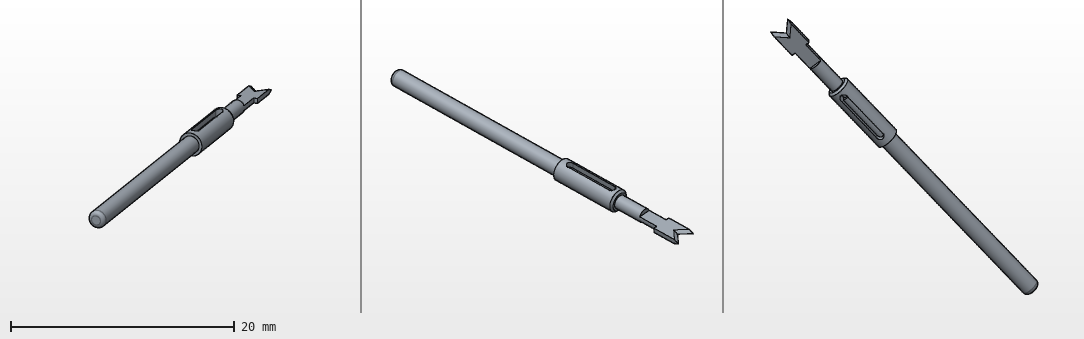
import cadquery as cq

length = 35.1
head_length = 3.0
flats_length = 5.02
plunger_length = 8.0
sleeve_length = 7.0

head_start = length - head_length
flats_start = length - flats_length
sleeve_end = length - plunger_length
sleeve_start = sleeve_end - sleeve_length

tail_diameter = 1.65
tail_rounding = 0.4
sleeve_diameter = 2.2
sleeve_chamfer = 0.2
plunger_diameter = 1.37

head_width = 2.0
blade_thickness = 0.5
bevel_length = 0.5
notch_depth = head_width / 2

window_width = 0.7
window_length = 5.72
window_end = sleeve_end - 0.6
shaft_diameter = 1.2
shaft_gap = 0.7
core_diameter = 0.6


def rod(diameter, start, end):
    """Round bar on the Y axis between two stations."""
    return cq.Workplane("XZ", origin=(0, start, 0)).circle(diameter / 2).extrude(start - end)


def tail():
    bar = rod(tail_diameter, 0, sleeve_start)
    return bar.faces("<Y").edges().fillet(tail_rounding)


def sleeve():
    bar = rod(sleeve_diameter, sleeve_start, sleeve_end)
    return bar.faces(">Y").edges().chamfer(sleeve_chamfer)


def windows():
    """Round-ended slot through the sleeve, top to bottom, around the inner shaft."""
    slot = (
        cq.Workplane("XY", origin=(0, window_end - window_length / 2, 0))
        .slot2D(window_length, window_width, 90)
        .extrude(sleeve_diameter / 2, both=True)
    )
    shaft = rod(shaft_diameter, sleeve_start, window_end - shaft_gap)
    core = rod(core_diameter, sleeve_start, sleeve_end)
    return slot.cut(shaft).cut(core)


def plate(width, start, end):
    """Flat blade section centred on the Y axis."""
    middle = (start + end) / 2
    return cq.Workplane("XY", origin=(0, middle, 0)).box(width, end - start, blade_thickness)


def bevelled_notch():
    """V notch that is narrowest at mid-thickness, leaving a double-bevelled knife edge."""

    def vee(height, setback):
        vertex = length - notch_depth - setback
        reach = length - vertex
        points = [(-reach, length), (0, vertex), (reach, length)]
        return cq.Workplane("XY", origin=(0, 0, height)).polyline(points).close().val()

    half_thickness = blade_thickness / 2
    middle = vee(0, 0)
    upper = cq.Solid.makeLoft([middle, vee(half_thickness, bevel_length)], True)
    lower = cq.Solid.makeLoft([middle, vee(-half_thickness, bevel_length)], True)
    return cq.Workplane(upper).union(cq.Workplane(lower))


def plunger():
    bar = rod(plunger_diameter, sleeve_end, flats_start)
    flats = rod(plunger_diameter, flats_start, head_start).intersect(
        plate(plunger_diameter, flats_start, head_start)
    )
    head = plate(head_width, head_start, length).cut(bevelled_notch())
    return bar.union(flats).union(head)


result = tail().union(sleeve().cut(windows())).union(plunger())